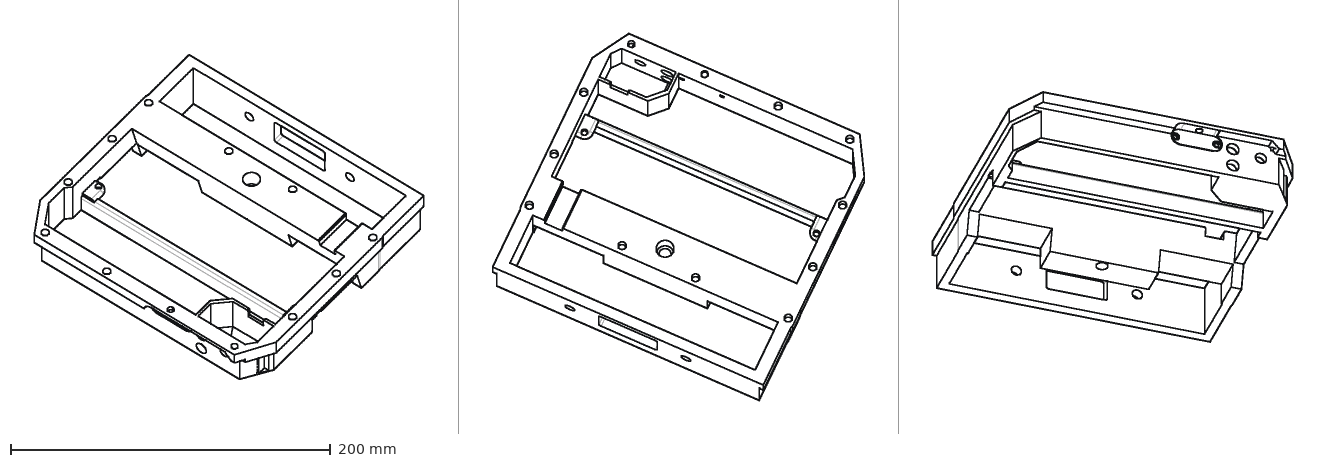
import cadquery as cq

WIDTH = 187.3
DEPTH = 175.0
HEIGHT = 35.2
HALF_WIDTH = WIDTH / 2

FLANGE_BOTTOM = 24.7
FRONT_LIP_BOTTOM = 27.3
FLANGE_CORNER = (79.5, 24.2)
BODY_HALF_WIDTH = 90.7
BODY_FRONT = 6.4
BODY_CORNER = (78.5, 25.5)
BACK_HALF_WIDTH = 93.1
BACK_BODY_HALF_WIDTH = 90.3
TAPER_START = 131.9

INNER_HALF_WIDTH = 84.3
INNER_FRONT = 10.9
BACK_WALL_FACE = 168.0
INNER_CORNER = (79.5, 16.9)
RELIEF_X = -88.0
RELIEF_START = 25.7
RELIEF_END = 41.5
RELIEF_CHAMFER = 3.7

BRIDGE_FRONT_TOP = 105.5
BRIDGE_FRONT_BOTTOM = 114.6
BRIDGE_BACK = 133.5
BRIDGE_LEAN = (BRIDGE_FRONT_BOTTOM - BRIDGE_FRONT_TOP) / HEIGHT
LEG_INNER_X = 83.7
CENTRE_BLOCK_HALF_WIDTH = 35.8
LEG_GAP_TOP = 15.0

ARCH_TOP = 16.3
ARCH_FRONT = 64.8
FRONT_BOTTOM = 4.5
NOTCH_Y = (69.1, 73.6)
NOTCH_TOP = 17.6

GROOVE_X = (64.0, 76.0)
GROOVE_DEPTH = 5.6
GROOVE_CHAMFER = 0.7

TRAY_LEFT = 40.3
TRAY_BACK = 35.4
TRAY_CHAMFER = 10.0
TRAY_WALL = 1.9
TRAY_FLOOR = 5.6
TRAY_FLOOR_BEVEL = 5.2

BAR_FRONT = 54.0
BAR_BACK = 59.0
BAR_TOP = 17.8
BAR_ROUND = 1.9
TAB_TIP_X = 75.0
TAB_FRONT = 55.0
TAB_BACK = 69.7
TAB_BOTTOM = ARCH_TOP
TAB_TOP = 19.7
TAB_CORNER_RADIUS = 5.6
TAB_EDGE_RADIUS = 2.2
TAB_HOLE = (79.8, 66.0)
TAB_HOLE_DIAMETER = 4.0

SCREW_DIAMETER = 5.0
SMALL_SCREW_DIAMETER = 4.3
SCREW_DEPTH = 5.6
SCREW_SIDE_X = 89.0
SCREW_MIDDLE_X = 25.3
SCREW_CORNER = (75.1, 5.6)
SCREW_SIDE_Y = (46.8, 91.5, 128.5)
SCREW_FRONT_Y = 4.5
BRIDGE_HOLE_Y = 119.1
BRIDGE_HOLE_DIAMETER = 7.5
BRIDGE_BORE_DIAMETER = 11.0
BRIDGE_BORE_DEPTH = 11.2

PLATE_X = (7.7, 41.0)
PLATE_Z = (20.6, 32.5)
PLATE_DEPTH = 0.7
PLATE_HOLE_X = (10.5, 37.8)
PLATE_HOLE_DIAMETER = 2.6
PLATE_BORE_DIAMETER = 5.0
PLATE_BORE_DEPTH = 1.0
LIP_RELIEF_START = 37.5
LIP_RELIEF_END = (71.7, 76.6)
JACK_HOLES = ((48.1, 25.0, 7.9), (48.1, 12.4, 7.9), (66.7, 22.1, 7.1))
SLOT_X = (85.5, 89.0)
SLOT_BACK = 22.9
SLOT_BOTTOM = 5.2

WINDOW_HALF_WIDTH = 20.0
WINDOW_Z = (11.2, 30.0)
WINDOW_CORNER_RADIUS = 1.5
BACK_HOLE_X = 39.9
BACK_HOLE_Z = 20.5
BACK_HOLE_DIAMETER = 6.5


def box(x, y, z):
    """Box between pairs of X, Y and Z limits."""
    size = (x[1] - x[0], y[1] - y[0], z[1] - z[0])
    return cq.Workplane("XY").box(*size, centered=False).translate((x[0], y[0], z[0]))


def plan_prism(points, bottom, top):
    """Vertical prism on a plan outline."""
    return cq.Workplane("XY").workplane(offset=bottom).polyline(points).close().extrude(top - bottom)


def side_prism(points, half_width):
    """Prism along X, centred on X = 0, on a (Y, Z) outline."""
    return cq.Workplane("YZ").polyline(points).close().extrude(half_width, both=True)


def upright_hole(x, y, diameter, bottom, top):
    return cq.Workplane("XY").workplane(offset=bottom).center(x, y).circle(diameter / 2).extrude(top - bottom)


def level_hole(x, z, diameter, front, back):
    """Round cutter along Y."""
    plane = cq.Workplane("XZ", origin=(x, front, z))
    return plane.circle(diameter / 2).extrude(front - back)


def shell_outline(front, corner, half_width, back_half_width):
    """Symmetric plan outline with cut front corners and a short taper to a narrower back."""
    right = [
        (corner[0], front),
        (half_width, corner[1]),
        (half_width, TAPER_START),
        (back_half_width, BRIDGE_BACK),
        (back_half_width, DEPTH),
    ]
    left = [(-x, y) for x, y in reversed(right)]
    return right + left


def bridge_front(z):
    """Y of the leaning bridge face at height z."""
    return BRIDGE_FRONT_BOTTOM - BRIDGE_LEAN * z


def make_frame():
    flange_outline = shell_outline(0, FLANGE_CORNER, HALF_WIDTH, BACK_HALF_WIDTH)
    body_outline = shell_outline(BODY_FRONT, BODY_CORNER, BODY_HALF_WIDTH, BACK_BODY_HALF_WIDTH)
    flange = plan_prism(flange_outline, FLANGE_BOTTOM, HEIGHT)
    under_lip = box((-HALF_WIDTH, HALF_WIDTH), (0, BODY_FRONT), (0, FRONT_LIP_BOTTOM))
    body = plan_prism(body_outline, 0, HEIGHT)
    opening = [
        (-INNER_CORNER[0], INNER_FRONT),
        (INNER_CORNER[0], INNER_FRONT),
        (INNER_HALF_WIDTH, INNER_CORNER[1]),
        (INNER_HALF_WIDTH, BACK_WALL_FACE),
        (-INNER_HALF_WIDTH, BACK_WALL_FACE),
        (-INNER_HALF_WIDTH, RELIEF_END + RELIEF_CHAMFER),
        (RELIEF_X, RELIEF_END),
        (RELIEF_X, RELIEF_START),
    ]
    return flange.cut(under_lip).union(body).cut(plan_prism(opening, 0, HEIGHT))


def make_bridge():
    profile = [
        (BRIDGE_FRONT_BOTTOM, 0),
        (BRIDGE_BACK, 0),
        (BRIDGE_BACK, HEIGHT),
        (BRIDGE_FRONT_TOP, HEIGHT),
    ]
    bridge = side_prism(profile, INNER_HALF_WIDTH)
    for x in ((-LEG_INNER_X, -CENTRE_BLOCK_HALF_WIDTH), (CENTRE_BLOCK_HALF_WIDTH, LEG_INNER_X)):
        bridge = bridge.cut(box(x, (BRIDGE_FRONT_TOP, BRIDGE_BACK), (0, LEG_GAP_TOP)))
    return bridge


def make_underside_cutter():
    profile = [
        (0, 0),
        (BRIDGE_FRONT_BOTTOM, 0),
        (bridge_front(ARCH_TOP), ARCH_TOP),
        (NOTCH_Y[1], ARCH_TOP),
        (NOTCH_Y[1], NOTCH_TOP),
        (NOTCH_Y[0], NOTCH_TOP),
        (NOTCH_Y[0], ARCH_TOP),
        (ARCH_FRONT, ARCH_TOP),
        (ARCH_FRONT, FRONT_BOTTOM),
        (0, FRONT_BOTTOM),
    ]
    return side_prism(profile, HALF_WIDTH)


def tray_outline(left, back, chamfer):
    """Tray plan that ends inside the front and right walls."""
    return [
        (left, INNER_FRONT),
        (INNER_CORNER[0], INNER_FRONT),
        (INNER_HALF_WIDTH, INNER_CORNER[1]),
        (INNER_HALF_WIDTH, back),
        (left + chamfer, back),
        (left, back - chamfer),
    ]


def make_tray():
    tray = plan_prism(tray_outline(TRAY_LEFT, TRAY_BACK, TRAY_CHAMFER), FRONT_BOTTOM, HEIGHT)
    left = TRAY_LEFT + TRAY_WALL
    back = TRAY_BACK - TRAY_WALL
    cavity = plan_prism(tray_outline(left, back, TRAY_CHAMFER), TRAY_FLOOR, HEIGHT)
    bevelled_edges = cavity.faces("<Z").edges("<X or >Y or |(1, 1, 0)")
    return tray.cut(bevelled_edges.chamfer(TRAY_FLOOR_BEVEL))


def make_bar():
    bar = box((-INNER_HALF_WIDTH, INNER_HALF_WIDTH), (BAR_FRONT, BAR_BACK), (FRONT_BOTTOM, BAR_TOP))
    return bar.edges("|X and >Z and <Y").fillet(BAR_ROUND)


def make_tab():
    """Right-hand tab, with a rounded free corner and a rounded free edge."""
    tab = box((TAB_TIP_X, INNER_HALF_WIDTH), (TAB_FRONT, TAB_BACK), (TAB_BOTTOM, TAB_TOP))
    tab = tab.edges("|Z and <X and >Y").fillet(TAB_CORNER_RADIUS)
    tab = tab.faces("<X").edges(">Z").fillet(TAB_EDGE_RADIUS)
    return tab.cut(upright_hole(*TAB_HOLE, TAB_HOLE_DIAMETER, TAB_BOTTOM, TAB_TOP))


def cut_top_holes(part):
    blind_bottom = HEIGHT - SCREW_DEPTH
    side_spots = [(side * SCREW_SIDE_X, y) for side in (-1, 1) for y in SCREW_SIDE_Y]
    middle_spots = [(side * SCREW_MIDDLE_X, SCREW_SIDE_Y[-1]) for side in (-1, 1)]
    front_spots = [(-SCREW_CORNER[0], SCREW_CORNER[1]), (-SCREW_MIDDLE_X, SCREW_FRONT_Y)]
    for x, y in side_spots + middle_spots + front_spots:
        part = part.cut(upright_hole(x, y, SCREW_DIAMETER, blind_bottom, HEIGHT))
    part = part.cut(upright_hole(*SCREW_CORNER, SMALL_SCREW_DIAMETER, blind_bottom, HEIGHT))
    part = part.cut(upright_hole(SCREW_MIDDLE_X, SCREW_FRONT_Y, SMALL_SCREW_DIAMETER, PLATE_Z[0], HEIGHT))
    part = part.cut(upright_hole(0, BRIDGE_HOLE_Y, BRIDGE_HOLE_DIAMETER, 0, HEIGHT))
    return part.cut(upright_hole(0, BRIDGE_HOLE_Y, BRIDGE_BORE_DIAMETER, HEIGHT - BRIDGE_BORE_DEPTH, HEIGHT))


def cut_groove(part):
    """Square groove with chamfered top edges, through the bridge and the tray wall."""
    left, right = GROOVE_X
    floor = HEIGHT - GROOVE_DEPTH
    chamfer_bottom = HEIGHT - GROOVE_CHAMFER
    profile = [
        (left, floor),
        (right, floor),
        (right, chamfer_bottom),
        (right + GROOVE_CHAMFER, HEIGHT),
        (left - GROOVE_CHAMFER, HEIGHT),
        (left, chamfer_bottom),
    ]
    for front, back in ((BRIDGE_FRONT_TOP, BRIDGE_BACK), (TRAY_BACK - TRAY_WALL, TRAY_BACK)):
        plane = cq.Workplane("XZ", origin=(0, front, 0))
        part = part.cut(plane.polyline(profile).close().extrude(front - back))
    return part


def cut_front_details(part):
    plate_middle_z = sum(PLATE_Z) / 2
    plate_floor = BODY_FRONT + PLATE_DEPTH
    plate = (
        cq.Workplane("XZ", origin=(sum(PLATE_X) / 2, 0, plate_middle_z))
        .slot2D(PLATE_X[1] - PLATE_X[0], PLATE_Z[1] - PLATE_Z[0])
        .extrude(-plate_floor)
    )
    part = part.cut(plate)
    for x in PLATE_HOLE_X:
        part = part.cut(level_hole(x, plate_middle_z, PLATE_HOLE_DIAMETER, 0, INNER_FRONT))
        bore_floor = plate_floor + PLATE_BORE_DEPTH
        part = part.cut(level_hole(x, plate_middle_z, PLATE_BORE_DIAMETER, 0, bore_floor))

    relief = [
        (LIP_RELIEF_START, FRONT_LIP_BOTTOM),
        (LIP_RELIEF_END[1], FRONT_LIP_BOTTOM),
        (LIP_RELIEF_END[0], PLATE_Z[1]),
        (LIP_RELIEF_START, PLATE_Z[1]),
    ]
    part = part.cut(cq.Workplane("XZ").polyline(relief).close().extrude(-BODY_FRONT))
    for x, z, diameter in JACK_HOLES:
        part = part.cut(level_hole(x, z, diameter, 0, INNER_FRONT))

    return part.cut(box(SLOT_X, (BODY_FRONT, SLOT_BACK), (SLOT_BOTTOM, FLANGE_BOTTOM)))


def cut_back_openings(part):
    window = box((-WINDOW_HALF_WIDTH, WINDOW_HALF_WIDTH), (BACK_WALL_FACE, DEPTH), WINDOW_Z)
    part = part.cut(window.edges("|Y").fillet(WINDOW_CORNER_RADIUS))
    for x in (-BACK_HOLE_X, BACK_HOLE_X):
        part = part.cut(level_hole(x, BACK_HOLE_Z, BACK_HOLE_DIAMETER, BACK_WALL_FACE, DEPTH))
    return part


part = make_frame().union(make_bridge()).cut(make_underside_cutter())
tab = make_tab()
part = part.union(make_tray()).union(make_bar()).union(tab).union(tab.mirror("YZ"))
part = cut_top_holes(part)
part = cut_groove(part)
part = cut_front_details(part)
result = cut_back_openings(part)